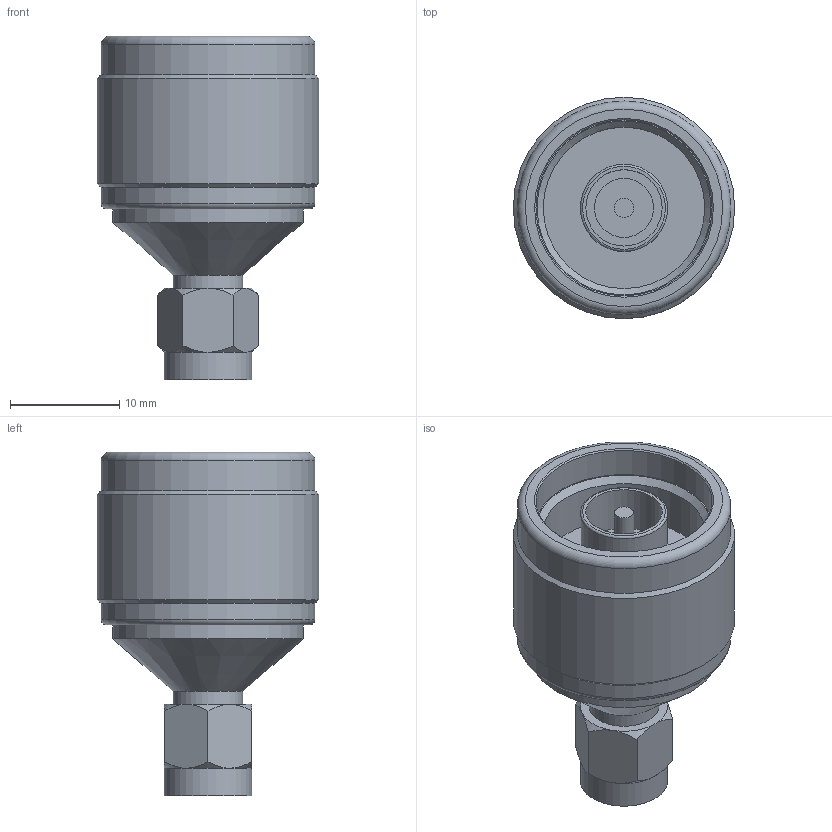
import cadquery as cq
import math

total_length = 31.52

nut_bottom_z = 2.53
nut_top_z = 8.4
cone_bottom_z = 9.6
cone_top_z = 14.4
ring_bottom_z = 15.68
grip_bottom_z = 17.65
grip_top_z = 28.0

end_radius = 4.0
neck_radius = 3.2
shoulder_radius = 8.72
ring_radius = 9.8
grip_radius = 10.15

rim_fillet = 0.75
ring_fillet = 0.5
grip_chamfer = grip_radius - ring_radius

nut_across_flats = 8.0
nut_across_corners = nut_across_flats / math.cos(math.pi / 6)
nut_face_radius = nut_across_flats / 2

bore_radius = 8.07
bore_lip_chamfer = 0.13
ledge_depth = 2.82
ledge_width = 0.1
socket_radius = 7.4
socket_depth = 7.45

sleeve_radius = 4.0
sleeve_bore_radius = 3.5
sleeve_recess = 1.3
sleeve_top_z = total_length - sleeve_recess
sleeve_fillet = 0.2
sleeve_floor_depth = 5.6
sleeve_floor_z = total_length - sleeve_floor_depth
insulator_radius = 2.7
insulator_step = 0.1
pin_radius = 0.88
pin_recess = 1.37
pin_top_z = total_length - pin_recess


def arc_point(center, radius, angle):
    """Point on a circle at an angle in degrees, as (distance from axis, height)."""
    turn = math.radians(angle)
    return (center[0] + radius * math.cos(turn), center[1] + radius * math.sin(turn))


def turn_profile(profile):
    """Revolve a closed half profile a full turn about Z."""
    return profile.revolve(360, (0, 0, 0), (0, 1, 0))


def make_outer_body():
    """Turned body below and around the socket, without the nut."""
    rim_center = (ring_radius - rim_fillet, total_length - rim_fillet)
    ring_center = (ring_radius - ring_fillet, ring_bottom_z + ring_fillet)
    rim_arc_mid = arc_point(rim_center, rim_fillet, 45)
    ring_arc_mid = arc_point(ring_center, ring_fillet, -45)
    profile = (
        cq.Workplane("YZ")
        .lineTo(end_radius, 0)
        .lineTo(end_radius, nut_bottom_z)
        .lineTo(neck_radius, nut_bottom_z)
        .lineTo(neck_radius, cone_bottom_z)
        .lineTo(shoulder_radius, cone_top_z)
        .lineTo(shoulder_radius, ring_bottom_z)
        .lineTo(ring_center[0], ring_bottom_z)
        .threePointArc(ring_arc_mid, (ring_radius, ring_center[1]))
        .lineTo(ring_radius, grip_bottom_z)
        .lineTo(grip_radius, grip_bottom_z + grip_chamfer)
        .lineTo(grip_radius, grip_top_z - grip_chamfer)
        .lineTo(ring_radius, grip_top_z)
        .lineTo(ring_radius, rim_center[1])
        .threePointArc(rim_arc_mid, (rim_center[0], total_length))
        .lineTo(0, total_length)
        .close()
    )
    return turn_profile(profile)


def make_socket():
    """Volume removed from the top: lipped bore, narrow ledge, 45 degree slope and inner socket."""
    ledge_z = total_length - ledge_depth
    slope_radius = bore_radius - ledge_width
    slope_drop = slope_radius - socket_radius
    floor_z = total_length - socket_depth
    profile = (
        cq.Workplane("YZ")
        .moveTo(0, total_length)
        .lineTo(bore_radius + bore_lip_chamfer, total_length)
        .lineTo(bore_radius, total_length - bore_lip_chamfer)
        .lineTo(bore_radius, ledge_z)
        .lineTo(slope_radius, ledge_z)
        .lineTo(socket_radius, ledge_z - slope_drop)
        .lineTo(socket_radius, floor_z)
        .lineTo(0, floor_z)
        .close()
    )
    return turn_profile(profile)


def make_contact():
    """Rounded sleeve standing on the socket floor, with the pin at its center."""
    floor_z = total_length - socket_depth
    fillet_center = (sleeve_radius - sleeve_fillet, sleeve_top_z - sleeve_fillet)
    fillet_mid = arc_point(fillet_center, sleeve_fillet, 45)
    insulator_z = sleeve_floor_z + insulator_step
    profile = (
        cq.Workplane("YZ")
        .moveTo(0, floor_z)
        .lineTo(sleeve_radius, floor_z)
        .lineTo(sleeve_radius, fillet_center[1])
        .threePointArc(fillet_mid, (fillet_center[0], sleeve_top_z))
        .lineTo(sleeve_bore_radius, sleeve_top_z)
        .lineTo(sleeve_bore_radius, sleeve_floor_z)
        .lineTo(insulator_radius, sleeve_floor_z)
        .lineTo(insulator_radius, insulator_z)
        .lineTo(pin_radius, insulator_z)
        .lineTo(pin_radius, pin_top_z)
        .lineTo(0, pin_top_z)
        .close()
    )
    return turn_profile(profile)


def make_nut():
    """Hexagon with flats facing +Y and -Y, corners turned down at 45 degrees on both ends."""
    nut_height = nut_top_z - nut_bottom_z
    corner_cut = nut_across_corners / 2 - nut_face_radius
    hexagon = (
        cq.Workplane("XY")
        .workplane(offset=nut_bottom_z)
        .polygon(6, nut_across_corners)
        .extrude(nut_height)
    )
    turned_blank = (
        cq.Workplane("XY")
        .workplane(offset=nut_bottom_z)
        .circle(nut_across_corners / 2)
        .extrude(nut_height)
        .edges()
        .chamfer(corner_cut)
    )
    return hexagon.intersect(turned_blank)


result = make_outer_body().cut(make_socket()).union(make_contact()).union(make_nut())